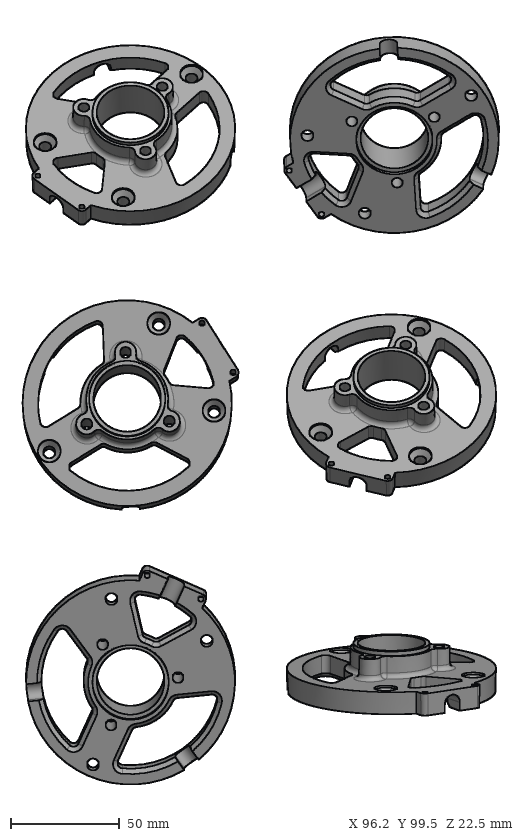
import cadquery as cq
import math

overall_length = 99.5
plate_diameter = 96.2
plate_radius = plate_diameter / 2
plate_thickness = 10.5
plate_draft = 1.0
tab_end = overall_length - plate_radius
tab_width = 32.0
tab_corner_radius = 2.5
tab_hole_diameter = 2.5

total_height = 22.5
lip_height = 2.0
hub_top = total_height - lip_height
lip_diameter = 35.0
bore_diameter = 31.0
hub_draft = 1.0
hub_base_radius = 19.0
lobe_base_radius = 5.1
lobe_circle_radius = 21.9
lobe_hole_diameter = 5.0
lobe_angles = (90, 210, 330)
lobe_blend_radius = 2.7
hub_base_fillet = 2.4

window_outer_radius = 40.9
window_inner_radius = 21.6
window_corner_radius = 2.5
large_window_angle = 30
large_window_side_angle = 60
bar_half_width = 10.0
small_window_apex = 17.0
small_window_half_angle = 37.0

mount_points = [(0, 42.2), (-24.0, -32.0), (24.0, -32.0)]
mount_hole_diameter = 5.5
mount_head_diameter = 10.4
mount_head_recess = 1.0

window_chamfer = 2.1
counterbore_diameter = lip_diameter
counterbore_depth = 2.1
channel_width = 8.2
channel_height = 8.2
channel_angles = (30, 150, 270)


def polar(radius, angle):
    return (radius * math.cos(math.radians(angle)), radius * math.sin(math.radians(angle)))


def inner_edges(face):
    return [edge for wire in face.innerWires() for edge in wire.Edges()]


lobe_points = [polar(lobe_circle_radius, angle) for angle in lobe_angles]


def make_plate():
    top = cq.Workplane("XY", origin=(0, 0, plate_thickness))
    disc = top.circle(plate_radius).extrude(-plate_thickness, taper=plate_draft)
    tab = (
        top.center(0, -tab_end / 2)
        .sketch()
        .rect(tab_width, tab_end)
        .vertices("<Y")
        .fillet(tab_corner_radius)
        .finalize()
        .extrude(-plate_thickness, taper=plate_draft)
    )
    return disc.union(tab)


def make_hub():
    """Conical ring and lobes, blended where they meet."""
    base = cq.Workplane("XY", origin=(0, 0, plate_thickness))
    height = hub_top - plate_thickness
    ring = base.circle(hub_base_radius).extrude(height, taper=hub_draft)
    lobes = base.pushPoints(lobe_points).circle(lobe_base_radius).extrude(height, taper=hub_draft)
    hub = ring.union(lobes)
    reach = lobe_circle_radius
    seams = cq.selectors.BoxSelector(
        (-reach, -reach, plate_thickness + height / 4),
        (reach, reach, hub_top - height / 4),
    )
    return hub.edges(seams).fillet(lobe_blend_radius)


def add_hub(plate):
    """Joins the hub to the plate and flares its foot."""
    body = plate.union(make_hub())
    plate_top = body.faces("|Z").faces(">Z[-2]").val()
    return body.newObject(inner_edges(plate_top)).fillet(hub_base_fillet)


def window(corners):
    """Cutter between the two window radii, bounded sideways by a polygon."""
    base = cq.Workplane("XY")
    ring = base.circle(window_outer_radius).circle(window_inner_radius).extrude(plate_thickness)
    sector = base.polyline(corners).close().extrude(plate_thickness)
    return ring.intersect(sector).edges("|Z").fillet(window_corner_radius)


def cut_windows(plate):
    reach = 2 * plate_radius
    apex_distance = bar_half_width / math.sin(math.radians(large_window_side_angle))
    apex_x, apex_y = polar(apex_distance, large_window_angle)
    lower_x, lower_y = polar(reach, large_window_angle - large_window_side_angle)
    upper_x, upper_y = polar(reach, large_window_angle + large_window_side_angle)
    large = window(
        [
            (apex_x, apex_y),
            (apex_x + lower_x, apex_y + lower_y),
            (apex_x + lower_x, apex_y + upper_y),
            (apex_x + upper_x, apex_y + upper_y),
        ]
    )
    small_half_width = reach * math.tan(math.radians(small_window_half_angle))
    small = window(
        [
            (0, -small_window_apex),
            (-small_half_width, -small_window_apex - reach),
            (small_half_width, -small_window_apex - reach),
        ]
    )
    plate = plate.cut(large).cut(large.mirror("YZ")).cut(small)
    underside = plate.faces("<Z").val()
    return plate.newObject(inner_edges(underside)).chamfer(window_chamfer)


def channel():
    """Round-topped groove along +X, open at the underside and at the rim."""
    radius = channel_width / 2
    start = (window_inner_radius + window_outer_radius) / 2
    return (
        cq.Workplane("YZ", origin=(start, 0, 0))
        .moveTo(-radius, 0)
        .lineTo(-radius, channel_height - radius)
        .threePointArc((0, channel_height), (radius, channel_height - radius))
        .lineTo(radius, 0)
        .close()
        .extrude(tab_end)
    )


def mount_hole():
    """Cutter for one countersunk hole on the Z axis: shank, 90 degree cone, straight head."""
    shank_radius = mount_hole_diameter / 2
    head_radius = mount_head_diameter / 2
    cone_top = plate_thickness - mount_head_recess
    cone_bottom = cone_top - (head_radius - shank_radius)
    profile = [
        (0, 0),
        (shank_radius, 0),
        (shank_radius, cone_bottom),
        (head_radius, cone_top),
        (head_radius, plate_thickness),
        (0, plate_thickness),
    ]
    return cq.Workplane("XZ").polyline(profile).close().revolve(360, (0, 0, 0), (0, 1, 0))


def bore_cutter():
    bore = cq.Workplane("XY").circle(bore_diameter / 2).extrude(total_height)
    counterbore = cq.Workplane("XY").circle(counterbore_diameter / 2).extrude(counterbore_depth)
    return bore.union(counterbore)


def through_holes(points, diameter):
    return cq.Workplane("XY").pushPoints(points).circle(diameter / 2).extrude(total_height)


tab_hole_x = tab_width / 2 - tab_corner_radius
tab_hole_y = tab_corner_radius - tab_end
tab_hole_points = [(-tab_hole_x, tab_hole_y), (tab_hole_x, tab_hole_y)]

result = cut_windows(add_hub(make_plate()))
lip = cq.Workplane("XY", origin=(0, 0, hub_top)).circle(lip_diameter / 2).extrude(lip_height)
result = result.union(lip).cut(bore_cutter())
for angle in channel_angles:
    result = result.cut(channel().rotate((0, 0, 0), (0, 0, 1), angle))
for point in mount_points:
    result = result.cut(mount_hole().translate((*point, 0)))
result = result.cut(through_holes(lobe_points, lobe_hole_diameter))
result = result.cut(through_holes(tab_hole_points, tab_hole_diameter))